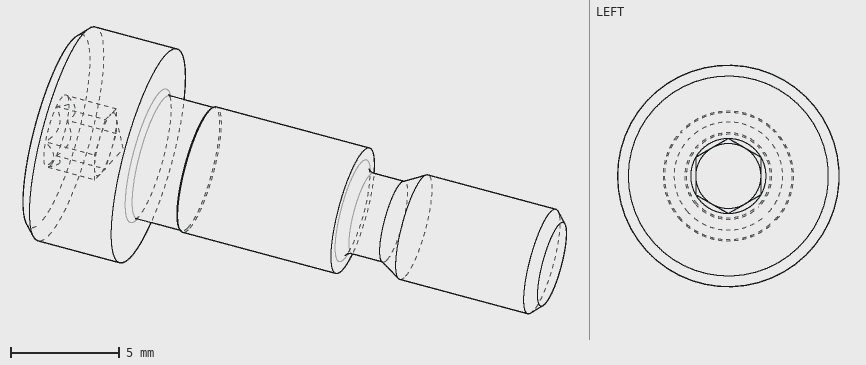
import cadquery as cq
import math

head_diameter = 10.22
head_height = 4.5
head_chamfer = 0.5

neck_diameter = 5.88
neck_length = 2.5
neck_fillet = 0.25

shoulder_diameter = 6.0
shoulder_length = 10.0

thread_diameter = 5.0
thread_length = 9.75
thread_chamfer = 0.5

groove_diameter = 3.86
groove_length = 2.0
groove_fillet = 0.5
lead_in_angle = 30.0

socket_across_flats = 3.0
socket_depth = 2.4
socket_chamfer_angle = 30.0
drill_point_angle = 120.0

head_end = head_height
shoulder_end = head_end + shoulder_length
groove_end = shoulder_end + groove_length
tip = shoulder_end + thread_length

head_radius = head_diameter / 2
neck_radius = neck_diameter / 2
shoulder_radius = shoulder_diameter / 2
thread_radius = thread_diameter / 2
groove_radius = groove_diameter / 2
socket_flat_radius = socket_across_flats / 2
socket_corner_radius = socket_flat_radius / math.cos(math.radians(30))


def fillet_midpoint(wall_x, floor_radius, fillet):
    """Middle of a concave fillet from a wall at wall_x, on its left, down to floor_radius."""
    offset = fillet * (1 - math.sqrt(0.5))
    return (wall_x + offset, floor_radius + offset)


def make_body():
    """Turned body: half profile in the XY plane, revolved about the X axis."""
    neck_step = shoulder_radius - neck_radius
    neck_end = head_end + neck_length
    lead_in_length = (thread_radius - groove_radius) / math.tan(math.radians(lead_in_angle))
    profile = (
        cq.Workplane("XY")
        .moveTo(0, 0)
        .lineTo(0, head_radius - head_chamfer)
        .lineTo(head_chamfer, head_radius)
        .lineTo(head_end, head_radius)
        .lineTo(head_end, neck_radius + neck_fillet)
        .threePointArc(
            fillet_midpoint(head_end, neck_radius, neck_fillet),
            (head_end + neck_fillet, neck_radius),
        )
        .lineTo(neck_end - neck_step, neck_radius)
        .lineTo(neck_end, shoulder_radius)
        .lineTo(shoulder_end, shoulder_radius)
        .lineTo(shoulder_end, groove_radius + groove_fillet)
        .threePointArc(
            fillet_midpoint(shoulder_end, groove_radius, groove_fillet),
            (shoulder_end + groove_fillet, groove_radius),
        )
        .lineTo(groove_end, groove_radius)
        .lineTo(groove_end + lead_in_length, thread_radius)
        .lineTo(tip - thread_chamfer, thread_radius)
        .lineTo(tip, thread_radius - thread_chamfer)
        .lineTo(tip, 0)
        .close()
    )
    return profile.revolve(360, (0, 0, 0), (1, 0, 0))


def make_cone(base_x, base_radius, angle):
    """Solid cone pointing along +X, with its half angle measured from the axis."""
    height = base_radius / math.tan(math.radians(angle))
    triangle = (
        cq.Workplane("XY")
        .moveTo(base_x, 0)
        .lineTo(base_x, base_radius)
        .lineTo(base_x + height, 0)
        .close()
    )
    return triangle.revolve(360, (0, 0, 0), (1, 0, 0))


def make_socket():
    """Hexagon with flats facing +Y and -Y, a chamfered mouth and a drill point."""
    quarter_turn = 90
    hexagon = (
        cq.Workplane("YZ")
        .polygon(6, 2 * socket_corner_radius)
        .extrude(socket_depth)
        .rotate((0, 0, 0), (1, 0, 0), quarter_turn)
    )
    mouth = make_cone(0, socket_corner_radius, socket_chamfer_angle)
    drill_point = make_cone(socket_depth, socket_flat_radius, drill_point_angle / 2)
    return hexagon.union(mouth).union(drill_point)


result = make_body().cut(make_socket())